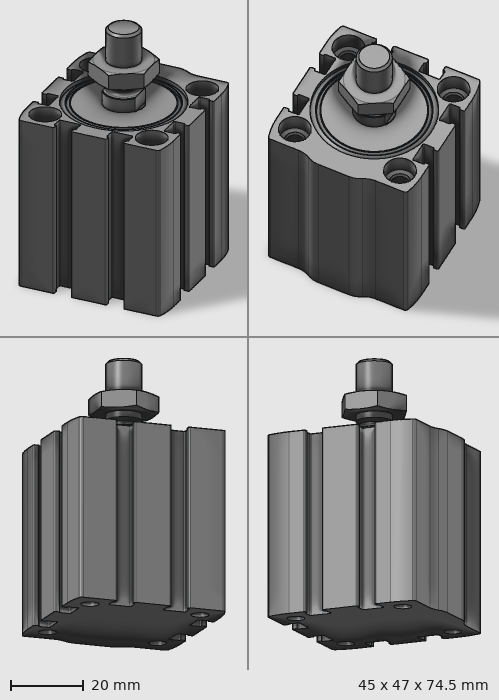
import cadquery as cq
import math

width = 45.0
half_width = width / 2
housing_height = 51.5
overall_height = 74.5

side_flat_half = 15.4
side_arc_radius = 22.0
corner_radius = 1.0
ridge_rise = 2.0
ridge_half_width = 4.7
ridge_blend_radius = 7.0

slot_offset = 8.0
slot_mouth_width = 5.2
slot_inner_width = 6.5
slot_lip_depth = 1.5
slot_depth = 4.9
slot_inner_fillet = 0.4
slot_lip_fillet = 0.4

hole_offset = 16.25
hole_diameter = 4.92
hole_chamfer_diameter = 6.0
counterbore_diameter = 9.0
counterbore_depth = 5.0

recess_radius = 35.4 / 2
recess_depth = 1.2
bore_lip_radius = 16.2
bore_radius = 32.0 / 2
cover_radius = 15.9
cover_chamfer_width = 0.9
cover_chamfer_drop = 0.6
cover_step_radius = 14.7
cover_step_rise = 0.1
cover_depth = 0.4
gap_depth = cover_depth + cover_step_rise + cover_chamfer_drop

rod_diameter = 12.0
rod_flats = 10.0
rod_flat_sink = 0.3
rod_socket_depth = 10.0
shoulder_z = 55.3
shoulder_chamfer = 0.2
thread_diameter = 10.0
thread_start_z = 57.7
thread_tip_chamfer = 0.75
neck_diameter = 8.1
neck_fillet = 0.9

nut_flats = 17.0
nut_thickness = 5.0
nut_bottom_z = 59.5
nut_chamfer_angle = 15.0

cover_z = housing_height - cover_depth
socket_z = cover_z - rod_socket_depth
flats_z = cover_z - rod_flat_sink


def housing_outline():
    """Closed outline: curved sides, flat front, back face with a raised ridge."""
    back_y = half_width
    ridge_y = back_y + ridge_rise
    blend_length = math.sqrt(ridge_rise * (4 * ridge_blend_radius - ridge_rise))
    ridge_foot = ridge_half_width + blend_length
    inflection = (ridge_half_width + blend_length / 2, back_y + ridge_rise / 2)

    corner_rise = half_width - side_flat_half
    corner_x = half_width - side_arc_radius + math.sqrt(side_arc_radius**2 - corner_rise**2)

    def mirrored(point):
        return (-point[0], point[1])

    return (
        cq.Workplane("XY")
        .moveTo(ridge_half_width, ridge_y)
        .radiusArc(inflection, ridge_blend_radius)
        .radiusArc((ridge_foot, back_y), -ridge_blend_radius)
        .lineTo(corner_x, back_y)
        .radiusArc((half_width, side_flat_half), side_arc_radius)
        .lineTo(half_width, -side_flat_half)
        .radiusArc((corner_x, -half_width), side_arc_radius)
        .lineTo(-corner_x, -half_width)
        .radiusArc((-half_width, -side_flat_half), side_arc_radius)
        .lineTo(-half_width, side_flat_half)
        .radiusArc((-corner_x, back_y), side_arc_radius)
        .lineTo(-ridge_foot, back_y)
        .radiusArc(mirrored(inflection), -ridge_blend_radius)
        .radiusArc((-ridge_half_width, ridge_y), ridge_blend_radius)
        .close()
    )


def housing_profile():
    """Extruded outline with its four outer corners rounded."""
    block = housing_outline().extrude(housing_height)
    corner_zone = half_width - corner_radius
    corners = [
        edge
        for edge in block.edges("|Z").vals()
        if abs(edge.Center().x) > side_flat_half and abs(edge.Center().y) > corner_zone
    ]
    return block.newObject(corners).fillet(corner_radius)


def slot_cutter():
    """T-slot for the -Y face, centred on x = 0, with rounded inner corners and lips."""
    face_y = -half_width
    lip_y = face_y + slot_lip_depth
    floor_y = face_y + slot_depth
    mouth = slot_mouth_width / 2
    inner = slot_inner_width / 2
    flare = mouth + slot_lip_fillet
    cutter = (
        cq.Workplane("XY")
        .moveTo(-flare, face_y)
        .radiusArc((-mouth, face_y + slot_lip_fillet), -slot_lip_fillet)
        .lineTo(-mouth, lip_y)
        .lineTo(-inner, lip_y)
        .lineTo(-inner, floor_y)
        .lineTo(inner, floor_y)
        .lineTo(inner, lip_y)
        .lineTo(mouth, lip_y)
        .lineTo(mouth, face_y + slot_lip_fillet)
        .radiusArc((flare, face_y), -slot_lip_fillet)
        .close()
        .extrude(housing_height)
    )
    inner_corners = [edge for edge in cutter.edges("|Z").vals() if abs(edge.Center().x) > flare]
    return cutter.newObject(inner_corners).fillet(slot_inner_fillet)


def mounting_hole_cutter():
    """Through hole, chamfered where it opens into the counterbore."""
    hole_radius = hole_diameter / 2
    chamfer_radius = hole_chamfer_diameter / 2
    seat_z = housing_height - counterbore_depth
    return (
        cq.Workplane("XZ")
        .lineTo(hole_radius, 0)
        .lineTo(hole_radius, seat_z - (chamfer_radius - hole_radius))
        .lineTo(chamfer_radius, seat_z)
        .lineTo(counterbore_diameter / 2, seat_z)
        .lineTo(counterbore_diameter / 2, housing_height)
        .lineTo(0, housing_height)
        .close()
        .revolve(360, (0, 0, 0), (0, 1, 0))
    )


def rod_end_cutter():
    """Recess around the rod: sloped lip, narrow gap, chamfered cover disc and rod socket."""
    top = housing_height
    step_z = cover_z - cover_step_rise
    return (
        cq.Workplane("XZ")
        .moveTo(0, top)
        .lineTo(recess_radius, top)
        .lineTo(recess_radius, top - recess_depth)
        .lineTo(bore_lip_radius, cover_z)
        .lineTo(bore_radius, cover_z)
        .lineTo(bore_radius, top - gap_depth)
        .lineTo(cover_radius, top - gap_depth)
        .lineTo(cover_radius - cover_chamfer_width, step_z)
        .lineTo(cover_step_radius, step_z)
        .lineTo(cover_step_radius, cover_z)
        .lineTo(rod_diameter / 2, cover_z)
        .lineTo(rod_diameter / 2, socket_z)
        .lineTo(0, socket_z)
        .close()
        .revolve(360, (0, 0, 0), (0, 1, 0))
    )


def make_housing():
    body = housing_profile()
    slot = slot_cutter()
    for face_angle in (-90, 0, 90):
        for offset in (-slot_offset, slot_offset):
            placed = slot.translate((offset, 0, 0)).rotate((0, 0, 0), (0, 0, 1), face_angle)
            body = body.cut(placed)
    hole = mounting_hole_cutter()
    for x in (-hole_offset, hole_offset):
        for y in (-hole_offset, hole_offset):
            body = body.cut(hole.translate((x, y, 0)))
    return body.cut(rod_end_cutter())


def make_rod():
    """Rod with wrench flats, an undercut neck and a chamfered threaded end."""
    rod_radius = rod_diameter / 2
    thread_radius = thread_diameter / 2
    neck_radius = neck_diameter / 2
    rod = (
        cq.Workplane("XZ")
        .moveTo(0, socket_z)
        .lineTo(rod_radius, socket_z)
        .lineTo(rod_radius, shoulder_z - shoulder_chamfer)
        .lineTo(rod_radius - shoulder_chamfer, shoulder_z)
        .lineTo(neck_radius + neck_fillet, shoulder_z)
        .radiusArc((neck_radius, shoulder_z + neck_fillet), neck_fillet)
        .lineTo(neck_radius, thread_start_z - (thread_radius - neck_radius))
        .lineTo(thread_radius, thread_start_z)
        .lineTo(thread_radius, overall_height - thread_tip_chamfer)
        .lineTo(thread_radius - thread_tip_chamfer, overall_height)
        .lineTo(0, overall_height)
        .close()
        .revolve(360, (0, 0, 0), (0, 1, 0))
    )
    flat_depth = (rod_diameter - rod_flats) / 2
    for side in (-1, 1):
        flat = (
            cq.Workplane("XY", origin=(side * (rod_flats + flat_depth) / 2, 0, flats_z))
            .rect(flat_depth, rod_diameter)
            .extrude(shoulder_z - flats_z)
        )
        rod = rod.cut(flat)
    return rod


def make_nut():
    """Hexagon with two flats facing X, its corners turned off at both ends."""
    hexagon_sides = 6
    nut_corner_radius = nut_flats / math.sqrt(3)
    flat_radius = nut_flats / 2
    chamfer_height = (nut_corner_radius - flat_radius) * math.tan(math.radians(nut_chamfer_angle))
    nut_top_z = nut_bottom_z + nut_thickness
    hexagon = (
        cq.Workplane("XY", origin=(0, 0, nut_bottom_z))
        .polygon(hexagon_sides, 2 * nut_corner_radius)
        .extrude(nut_thickness)
        .rotate((0, 0, 0), (0, 0, 1), 180 / hexagon_sides)
    )
    turned = (
        cq.Workplane("XZ")
        .moveTo(thread_diameter / 2, nut_bottom_z)
        .lineTo(flat_radius, nut_bottom_z)
        .lineTo(nut_corner_radius, nut_bottom_z + chamfer_height)
        .lineTo(nut_corner_radius, nut_top_z - chamfer_height)
        .lineTo(flat_radius, nut_top_z)
        .lineTo(thread_diameter / 2, nut_top_z)
        .close()
        .revolve(360, (0, 0, 0), (0, 1, 0))
    )
    return hexagon.intersect(turned)


housing = make_housing()
rod = make_rod()
nut = make_nut()

result = cq.Compound.makeCompound([housing.val(), rod.val(), nut.val()])